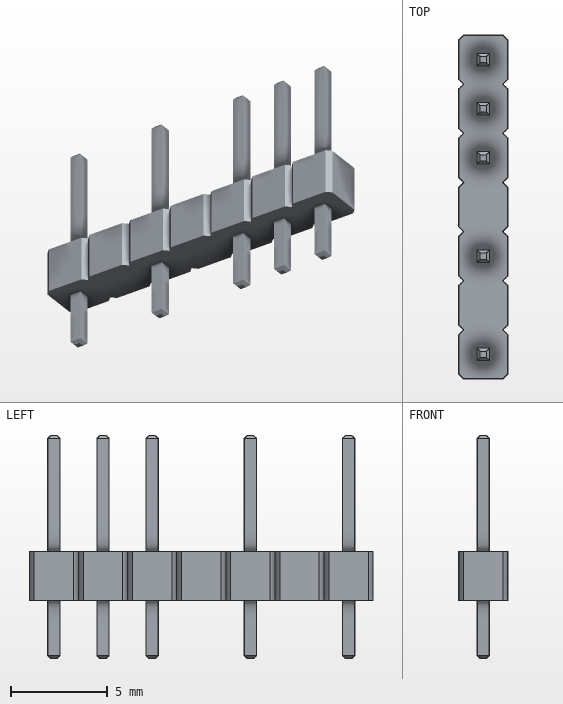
import cadquery as cq

pitch = 2.54
positions = 7
empty_positions = (1, 3)
body_width = pitch
body_height = pitch
corner_chamfer = pitch / 10

pin_width = 0.64
pin_above_body = 6.0
pin_below_body = 3.0
pin_length = pin_above_body + body_height + pin_below_body
tip_chamfer = pin_width / 4


def cell_y(index):
    """Y of a cell centre, with the whole strip centred on the origin."""
    return (index - (positions - 1) / 2) * pitch


def make_cell(index):
    """One chamfered insulator block resting on Z = 0."""
    return (
        cq.Workplane("XY")
        .center(0, cell_y(index))
        .rect(body_width, pitch)
        .extrude(body_height)
        .edges("|Z")
        .chamfer(corner_chamfer)
    )


def make_pin(index):
    """One square pin through its cell, with both tips chamfered."""
    return (
        cq.Workplane("XY", origin=(0, 0, -pin_below_body))
        .center(0, cell_y(index))
        .rect(pin_width, pin_width)
        .extrude(pin_length)
        .faces("<Z or >Z")
        .chamfer(tip_chamfer)
    )


result = make_cell(0)
for index in range(1, positions):
    result = result.union(make_cell(index))

for index in range(positions):
    if index not in empty_positions:
        result = result.union(make_pin(index))

result = result.clean()